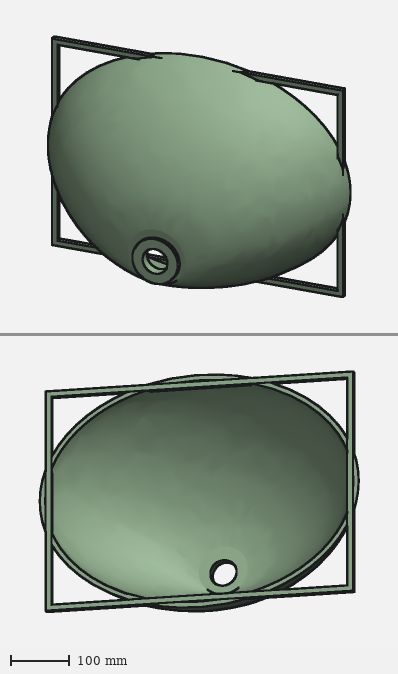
import cadquery as cq
import math

RIM_WIDTH = 560.5
RIM_HEIGHT = 412.0
TOTAL_DEPTH = 195.0

FLOOR_DEPTH = 186.0
WALL = 9.5
SECTION_COUNT = 10

WALL_POWER = 1.35
WALL_ROOT = 0.58
LOWER_POWER = 1.8
LOWER_ROOT = 1.0

FLOOR_CENTRE_Z = -92.5
FLOOR_RADIUS = 52.5
FLOOR_DROP = 8.5

DRAIN_Z = -97.0
PAD_RADIUS = 42.0
DRAIN_RADIUS = 23.0

FRAME_WIDTH = 539.5
FRAME_HEIGHT = 389.0
BAR = 10.0


def wall_fraction(depth_fraction, power, root):
    """Share of the rim-to-floor offset that is left at a given share of the depth."""
    return (1 - depth_fraction ** power) ** root


def bowl_section(depth_fraction, floor_depth, inset):
    """Elliptical cross-section, smaller than the outer skin by the inset.

    The section plane leans more with depth, from upright at the rim to the lean of the floor.
    """
    side = wall_fraction(depth_fraction, WALL_POWER, WALL_ROOT)
    lower = wall_fraction(depth_fraction, LOWER_POWER, LOWER_ROOT)
    floor_top = FLOOR_CENTRE_Z + FLOOR_RADIUS
    floor_bottom = FLOOR_CENTRE_Z - FLOOR_RADIUS
    half_width = FLOOR_RADIUS + (RIM_WIDTH / 2 - FLOOR_RADIUS) * side - inset
    top = floor_top + (RIM_HEIGHT / 2 - floor_top) * side - inset
    bottom = floor_bottom + (-RIM_HEIGHT / 2 - floor_bottom) * lower + inset
    lean = FLOOR_DROP / (2 * FLOOR_RADIUS) * depth_fraction
    return cq.Wire.makeEllipse(
        half_width,
        (top - bottom) / 2,
        cq.Vector(0, -floor_depth * depth_fraction, (top + bottom) / 2),
        cq.Vector(0, -1, -lean),
        cq.Vector(1, 0, 0),
    )


def bowl_body(floor_depth, inset):
    """Loft from rim to floor, with sections closer together near the floor."""
    sections = []
    for index in range(SECTION_COUNT):
        angle = math.pi / 2 * index / (SECTION_COUNT - 1)
        sections.append(bowl_section(math.sin(angle), floor_depth, inset))
    return cq.Workplane(cq.Solid.makeLoft(sections))


def drain_cylinder(radius):
    """Cylinder on the drain axis, from the rim plane to the pad face."""
    return cq.Workplane("XZ").center(0, DRAIN_Z).circle(radius).extrude(TOTAL_DEPTH)


def make_frame():
    return (
        cq.Workplane("XZ")
        .rect(FRAME_WIDTH, FRAME_HEIGHT)
        .rect(FRAME_WIDTH - 2 * BAR, FRAME_HEIGHT - 2 * BAR)
        .extrude(BAR)
    )


def make_bowl(frame):
    """Hollow bowl with a drain pad, notched where the frame bars run through its rim."""
    cavity = bowl_body(FLOOR_DEPTH - WALL, WALL)
    bowl = bowl_body(FLOOR_DEPTH, 0).union(drain_cylinder(PAD_RADIUS))
    return bowl.cut(cavity).cut(drain_cylinder(DRAIN_RADIUS)).cut(frame)


frame = make_frame()
bowl = make_bowl(frame)

result = cq.Compound.makeCompound([bowl.val(), frame.val()])